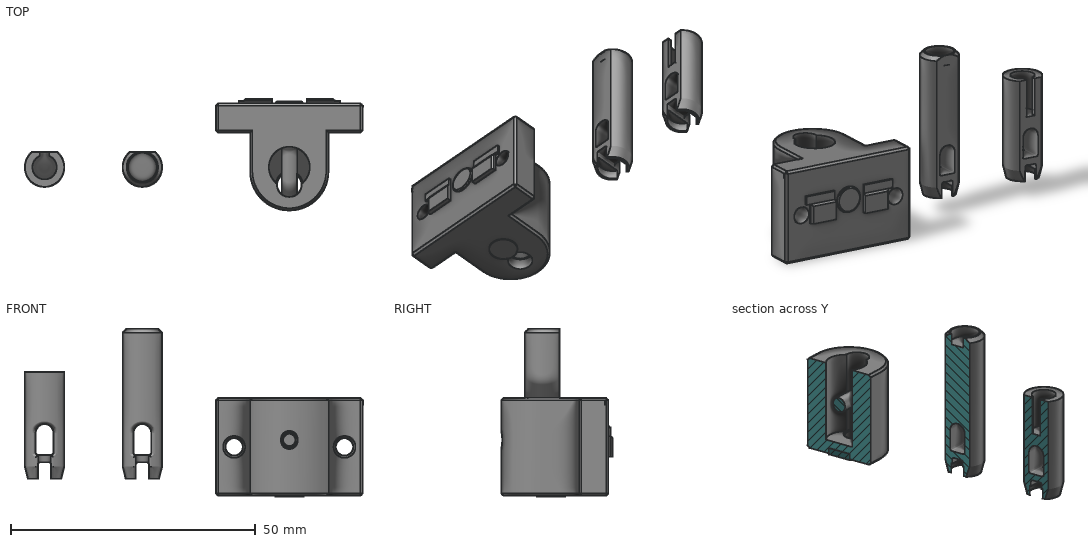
import cadquery as cq

HOUSING_WIDTH = 30.0
HOUSING_HEIGHT = 20.0
PLATE_BACK = 13.1
PLATE_THICKNESS = 6.0
TOWER_RADIUS = 8.0
TOWER_CENTER_Y = -0.8
TOWER_FRONT = TOWER_CENTER_Y - TOWER_RADIUS
EDGE_CHAMFER = 0.5

BORE_DIAMETER = 8.4
BORE_FLOOR = 3.0
LOBE_DIAMETER = 5.0
LOBE_RIM_DIAMETER = 5.5
LOBE_CENTER_Y = -3.6

SCREW_HOLE_DIAMETER = 3.5
SCREW_HOLE_CHAMFER = 0.5
SCREW_HOLE_X = 11.3

CROSS_PIN_DIAMETER = 3.2
CROSS_PIN_TIP_CHAMFER = 0.35
CROSS_PIN_RECESS = 0.4
CROSS_PIN_Z = 11.4
CROSS_HOLE_RIM_DIAMETER = 3.7
HEAD_DIAMETER = 5.5
HEAD_THICKNESS = 0.4
HEAD_CHAMFER = 0.3

PAD_INNER_X = 3.5
LOW_PAD_OUTER_X = 10.4
LOW_PAD_HEIGHT = 0.5
HIGH_PAD_OUTER_X = 9.35
HIGH_PAD_HEIGHT = 0.9
HIGH_PAD_BOTTOM = 7.95
PAD_STEP_Z = 12.2
LOW_PAD_TOP = 14.0
PAD_CHAMFER = 0.4

MARK_HEIGHT = 0.105
MARK_DEPTH = 0.3
MARK_LENGTH = 0.9

MAGNET_DIAMETER = 5.8
MAGNET_THICKNESS = 1.4
MAGNET_PROUD = 0.2
MAGNET_CENTER_Y = 1.3

PIN_DIAMETER = 8.1
PIN_RADIUS = PIN_DIAMETER / 2
PIN_FLAT_Y = 3.1
PIN_BOTTOM = 3.45
LONG_PIN_LENGTH = 30.7
SHORT_PIN_LENGTH = 21.85
LONG_PIN_X = -30.0
SHORT_PIN_X = LONG_PIN_X - 20.0
TIP_HEIGHT = 2.5
TIP_INSET = 0.6
TOP_CHAMFER_HEIGHT = 0.8
TOP_CHAMFER_INSET = 0.8
POCKET_DIAMETER = 5.9
POCKET_DEPTH = 2.2
SHORT_BORE_DIAMETER = 5.0
SHORT_BORE_DEPTH = 8.0
SHORT_SLIT_WIDTH = 1.95

WINDOW_WIDTH = 3.6
WINDOW_BOTTOM = 4.9
WINDOW_CORNER_RADIUS = 0.4
WINDOW_ARCH_Z = 9.4
WINDOW_ROUNDING = 0.55
SLOT_WIDTH = 2.6
SLOT_TOP = 3.4
SLOT_CORNER_RADIUS = 0.4
SLOT_ROUNDING = 0.35
SILL_ROUNDING = 0.4
FRONT_SLOT_BACK_Y = -1.95
TIP_POCKET_DIAMETER = 6.0
TIP_POCKET_DEPTH = 2.1

SELECTION_MARGIN = 0.1


def box(x_range, y_range, z_range):
    """Box between the given limits."""
    size = [high - low for low, high in (x_range, y_range, z_range)]
    corner = (x_range[0], y_range[0], z_range[0])
    return cq.Workplane("XY").box(*size, centered=False).translate(corner)


def rod_z(diameter, center_y, bottom, top):
    """Upright cylinder centred on x = 0."""
    return cq.Workplane("XY", origin=(0, center_y, bottom)).circle(diameter / 2).extrude(top - bottom)


def rod_y(diameter, x, z, front, back):
    """Cylinder along Y between two Y positions."""
    plane = cq.Plane(origin=(x, front, z), xDir=(1, 0, 0), normal=(0, 1, 0))
    return cq.Workplane(plane).circle(diameter / 2).extrude(back - front)


def cone_y(front_diameter, back_diameter, x, z, front, back):
    """Cone along Y between two Y positions."""
    return cq.Workplane(cq.Solid.makeCone(
        front_diameter / 2, back_diameter / 2, back - front, cq.Vector(x, front, z), cq.Vector(0, 1, 0)
    ))


def make_housing_blank():
    """Plate and tower with chamfered outer edges."""
    half_width = HOUSING_WIDTH / 2
    plate_front = PLATE_BACK - PLATE_THICKNESS
    blank = (
        cq.Workplane("XY")
        .moveTo(-half_width, PLATE_BACK)
        .lineTo(-half_width, plate_front)
        .lineTo(-TOWER_RADIUS, plate_front)
        .lineTo(-TOWER_RADIUS, TOWER_CENTER_Y)
        .threePointArc((0, TOWER_FRONT), (TOWER_RADIUS, TOWER_CENTER_Y))
        .lineTo(TOWER_RADIUS, plate_front)
        .lineTo(half_width, plate_front)
        .lineTo(half_width, PLATE_BACK)
        .close()
        .extrude(HOUSING_HEIGHT)
    )
    plate_ends = blank.faces("<X or >X").edges("|Z")
    return plate_ends.add(blank.faces("<Z or >Z").edges()).chamfer(EDGE_CHAMFER)


def make_pads(side):
    """Stepped raised pad on one side of the plate's back; side is -1 or 1."""
    low_pad = box(
        (PAD_INNER_X, LOW_PAD_OUTER_X),
        (PLATE_BACK, PLATE_BACK + LOW_PAD_HEIGHT),
        (PAD_STEP_Z, LOW_PAD_TOP),
    )
    high_pad = box(
        (PAD_INNER_X, HIGH_PAD_OUTER_X),
        (PLATE_BACK, PLATE_BACK + HIGH_PAD_HEIGHT),
        (HIGH_PAD_BOTTOM, PAD_STEP_Z),
    )
    high_pad = high_pad.faces(">Y").edges(">X or >Z").chamfer(PAD_CHAMFER)
    pads = low_pad.union(high_pad)
    return pads if side > 0 else pads.mirror("YZ")


def make_end_mark():
    """Small raised mark beside the chamfers of the plate's right end."""
    back = PLATE_BACK - EDGE_CHAMFER
    top = HOUSING_HEIGHT - EDGE_CHAMFER
    end = HOUSING_WIDTH / 2
    return box((end, end + MARK_HEIGHT), (back - MARK_DEPTH, back), (top - MARK_LENGTH, top))


def cut_bores(housing):
    """Blind main bore, the narrower lobe through the floor and its chamfered rim."""
    main_bore = rod_z(BORE_DIAMETER, 0, BORE_FLOOR, HOUSING_HEIGHT)
    lobe = rod_z(LOBE_DIAMETER, LOBE_CENTER_Y, 0, HOUSING_HEIGHT)
    rim_depth = (LOBE_RIM_DIAMETER - LOBE_DIAMETER) / 2
    lobe_rim = cq.Workplane(cq.Solid.makeCone(
        LOBE_DIAMETER / 2, LOBE_RIM_DIAMETER / 2, rim_depth,
        cq.Vector(0, LOBE_CENTER_Y, BORE_FLOOR - rim_depth), cq.Vector(0, 0, 1),
    ))
    return housing.cut(main_bore).cut(lobe).cut(lobe_rim)


def cut_screw_holes(housing):
    """Two holes through the plate with chamfered front rims."""
    front = PLATE_BACK - PLATE_THICKNESS
    rim_diameter = SCREW_HOLE_DIAMETER + 2 * SCREW_HOLE_CHAMFER
    hole_z = HOUSING_HEIGHT / 2
    for x in (-SCREW_HOLE_X, SCREW_HOLE_X):
        hole = rod_y(SCREW_HOLE_DIAMETER, x, hole_z, front, PLATE_BACK)
        rim = cone_y(rim_diameter, SCREW_HOLE_DIAMETER, x, hole_z, front, front + SCREW_HOLE_CHAMFER)
        housing = housing.cut(hole).cut(rim)
    return housing


def cut_cross_hole(housing):
    """Hole for the cross pin, widened at the front of the tower."""
    hole = rod_y(CROSS_PIN_DIAMETER, 0, CROSS_PIN_Z, TOWER_FRONT, PLATE_BACK)
    rim = cone_y(
        CROSS_HOLE_RIM_DIAMETER, CROSS_PIN_DIAMETER, 0, CROSS_PIN_Z, TOWER_FRONT, TOWER_FRONT + CROSS_PIN_RECESS
    )
    return housing.cut(hole).cut(rim)


def make_magnet():
    """Round magnet that stands slightly proud of the housing's underside."""
    return rod_z(MAGNET_DIAMETER, MAGNET_CENTER_Y, -MAGNET_PROUD, MAGNET_THICKNESS - MAGNET_PROUD)


def make_housing():
    """Complete housing with its holes and the recess for the magnet."""
    housing = make_housing_blank()
    for side in (-1, 1):
        housing = housing.union(make_pads(side))
    housing = housing.union(make_end_mark())
    housing = cut_bores(housing)
    housing = cut_screw_holes(housing)
    housing = cut_cross_hole(housing)
    return housing.cut(make_magnet())


def make_cross_pin():
    """Pin with a chamfered front tip and a low round head on the back of the plate."""
    shank = rod_y(CROSS_PIN_DIAMETER, 0, CROSS_PIN_Z, TOWER_FRONT + CROSS_PIN_RECESS, PLATE_BACK)
    shank = shank.faces("<Y").chamfer(CROSS_PIN_TIP_CHAMFER)
    head = rod_y(HEAD_DIAMETER, 0, CROSS_PIN_Z, PLATE_BACK, PLATE_BACK + HEAD_THICKNESS)
    head = head.faces(">Y").chamfer(HEAD_CHAMFER)
    return shank.union(head)


def make_pin_blank(length):
    """Round pin standing on z = 0, with a tapered tip."""
    tip_radius = PIN_RADIUS - TIP_INSET
    return (
        cq.Workplane("XZ")
        .polyline([(0, 0), (tip_radius, 0), (PIN_RADIUS, TIP_HEIGHT), (PIN_RADIUS, length), (0, length)])
        .close()
        .revolve(360, (0, 0), (0, 1))
    )


def cut_flat(pin, length):
    """Flat along the back of a pin."""
    return pin.cut(box((-PIN_RADIUS, PIN_RADIUS), (PIN_FLAT_Y, PIN_RADIUS), (0, length)))


def cut_window(pin):
    """Arched window right through the pin, with a rounded front rim."""
    half_window = WINDOW_WIDTH / 2
    arch_top = WINDOW_ARCH_Z + half_window
    window = (
        cq.Workplane("XZ", origin=(0, PIN_RADIUS, 0))
        .moveTo(-half_window, WINDOW_BOTTOM)
        .lineTo(half_window, WINDOW_BOTTOM)
        .lineTo(half_window, WINDOW_ARCH_Z)
        .threePointArc((0, arch_top), (-half_window, WINDOW_ARCH_Z))
        .close()
        .extrude(PIN_DIAMETER)
        .edges("|Y and <Z")
        .fillet(WINDOW_CORNER_RADIUS)
    )
    front_rim = cq.selectors.BoxSelector(
        (-PIN_RADIUS, -PIN_DIAMETER, WINDOW_BOTTOM - SELECTION_MARGIN),
        (PIN_RADIUS, FRONT_SLOT_BACK_Y, arch_top + SELECTION_MARGIN),
    )
    return pin.cut(window).edges(front_rim).fillet(WINDOW_ROUNDING)


def cut_slot(pin):
    """Slot through the pin's lower end; at the front it rises past the rounded sill of the window."""
    half_slot = SLOT_WIDTH / 2
    slot = box((-half_slot, half_slot), (-PIN_RADIUS, PIN_RADIUS), (0, SLOT_TOP))
    slot = slot.edges("|Y and >Z").fillet(SLOT_CORNER_RADIUS)

    sill_back_y = FRONT_SLOT_BACK_Y + SILL_ROUNDING
    front_slot_top = WINDOW_BOTTOM + SILL_ROUNDING
    front_slot = (
        cq.Workplane("YZ", origin=(-half_slot, 0, 0))
        .moveTo(-PIN_RADIUS, 0)
        .lineTo(FRONT_SLOT_BACK_Y, 0)
        .lineTo(FRONT_SLOT_BACK_Y, WINDOW_BOTTOM - SILL_ROUNDING)
        .radiusArc((sill_back_y, WINDOW_BOTTOM), SILL_ROUNDING)
        .lineTo(sill_back_y, front_slot_top)
        .lineTo(-PIN_RADIUS, front_slot_top)
        .close()
        .extrude(SLOT_WIDTH)
    )
    slot_sides = cq.selectors.BoxSelector(
        (-half_slot - SELECTION_MARGIN, -PIN_DIAMETER, -SELECTION_MARGIN),
        (half_slot + SELECTION_MARGIN, FRONT_SLOT_BACK_Y - SELECTION_MARGIN, front_slot_top - SELECTION_MARGIN),
    )
    return pin.cut(slot).cut(front_slot).edges(slot_sides).edges("not #Z").fillet(SLOT_ROUNDING)


def cut_lower_end(pin):
    """Window, forked slot and the round pocket in the lower end of a pin."""
    tip_pocket = rod_z(TIP_POCKET_DIAMETER, 0, 0, TIP_POCKET_DEPTH)
    return cut_window(pin).intersect(cut_slot(pin)).cut(tip_pocket)


def make_long_pin():
    """Long pin with a chamfered top and a round pocket in it."""
    pin = make_pin_blank(LONG_PIN_LENGTH)
    pin = pin.faces(">Z").chamfer(TOP_CHAMFER_HEIGHT, TOP_CHAMFER_INSET)
    pin = cut_lower_end(cut_flat(pin, LONG_PIN_LENGTH))
    pin = pin.cut(rod_z(POCKET_DIAMETER, 0, LONG_PIN_LENGTH - POCKET_DEPTH, LONG_PIN_LENGTH))
    return pin.translate((LONG_PIN_X, 0, PIN_BOTTOM))


def make_short_pin():
    """Short pin with a blind bore that a slit opens to the back."""
    pin = cut_lower_end(cut_flat(make_pin_blank(SHORT_PIN_LENGTH), SHORT_PIN_LENGTH))
    bore_floor = SHORT_PIN_LENGTH - SHORT_BORE_DEPTH
    half_slit = SHORT_SLIT_WIDTH / 2
    bore = rod_z(SHORT_BORE_DIAMETER, 0, bore_floor, SHORT_PIN_LENGTH)
    slit = box((-half_slit, half_slit), (0, PIN_FLAT_Y), (bore_floor, SHORT_PIN_LENGTH))
    return pin.cut(bore).cut(slit).translate((SHORT_PIN_X, 0, PIN_BOTTOM))


housing = make_housing()
cross_pin = make_cross_pin()
magnet = make_magnet()
long_pin = make_long_pin()
short_pin = make_short_pin()

result = cq.Compound.makeCompound([
    housing.val(),
    cross_pin.val(),
    magnet.val(),
    long_pin.val(),
    short_pin.val(),
])